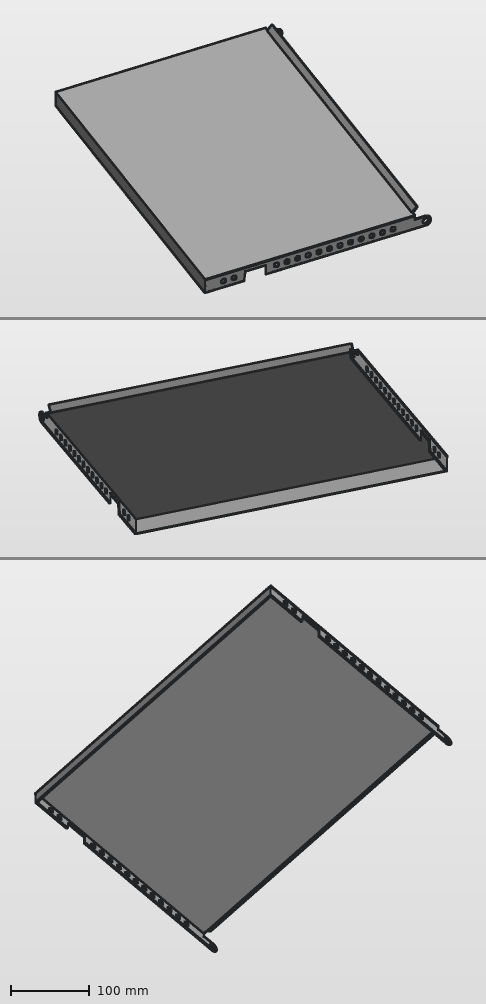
import cadquery as cq
import math

width = 430.0
length = 321.0
sheet = 1.7
plate_top = 22.5
plate_length = 298.5
wall_inset = 0.2

arm_height = 14.5
eye_radius = arm_height / 2
eye_diameter = 8.0
eye_y = length - eye_radius

hole_diameter = 7.0
hole_pitch = 15.0
hole_z = 10.0
first_hole_y = 26.5
front_hole_count = 2
rear_row_offset = 5 * hole_pitch
rear_hole_count = 12

notch_front = 56.0
notch_rear = 87.0
notch_height = arm_height
notch_lean = 1.7

lip_top = 30.0
lip_tip_y = 305.5
lip_inset = 6.5


def make_tray():
    """Plate with downturned front and side walls, open below and at the rear."""
    plate = cq.Workplane("XY").box(width, plate_length, plate_top, centered=(True, False, False))
    cavity = cq.Workplane("XY").box(
        width - 2 * (wall_inset + sheet), plate_length, plate_top - sheet, centered=(True, False, False)
    )
    tray = plate.cut(cavity.translate((0, sheet, 0)))
    for x in (-width / 2, width / 2 - wall_inset):
        reveal = cq.Workplane("XY").box(wall_inset, plate_length, plate_top - sheet, centered=False)
        tray = tray.cut(reveal.translate((x, 0, 0)))
    return tray


def make_arm(wall_x):
    """Rounded hinge arm continuing one side wall to the rear."""
    return (
        cq.Workplane("YZ", origin=(wall_x, 0, 0))
        .moveTo(plate_length - sheet, 0)
        .lineTo(eye_y, 0)
        .threePointArc((length, eye_radius), (eye_y, arm_height))
        .lineTo(plate_length - sheet, arm_height)
        .close()
        .extrude(sheet)
    )


def make_lip():
    """Strip of sheet sloping up and back from the rear edge of the plate."""
    rise = lip_top - plate_top
    run = lip_tip_y - plate_length
    slope_length = math.hypot(rise, run)
    step_y = sheet * rise / slope_length
    step_z = sheet * run / slope_length
    lip_width = width - 2 * lip_inset
    return (
        cq.Workplane("YZ", origin=(-lip_width / 2, 0, 0))
        .polyline([
            (plate_length - step_y, plate_top),
            (lip_tip_y - step_y, lip_top),
            (lip_tip_y, lip_top - step_z),
            (plate_length, plate_top - step_z),
            (plate_length - step_y, plate_top - sheet),
        ])
        .close()
        .extrude(lip_width)
    )


def side_cutter(y, z, diameter):
    """Round bar that pierces both side walls."""
    return (
        cq.Workplane("YZ", origin=(-width / 2, 0, 0))
        .center(y, z)
        .circle(diameter / 2)
        .extrude(width)
    )


def make_notch():
    """Notch through both side walls, its front edge leaning to the rear at the top."""
    return (
        cq.Workplane("YZ", origin=(-width / 2, 0, 0))
        .polyline([
            (notch_front, 0),
            (notch_rear, 0),
            (notch_rear, notch_height),
            (notch_front + notch_lean, notch_height),
        ])
        .close()
        .extrude(width)
    )


result = make_tray().union(make_lip())
for wall_x in (wall_inset - width / 2, width / 2 - wall_inset - sheet):
    result = result.union(make_arm(wall_x))

hole_places = [first_hole_y + i * hole_pitch for i in range(front_hole_count)]
hole_places += [first_hole_y + rear_row_offset + i * hole_pitch for i in range(rear_hole_count)]
for hole_y in hole_places:
    result = result.cut(side_cutter(hole_y, hole_z, hole_diameter))

result = result.cut(side_cutter(eye_y, eye_radius, eye_diameter))
result = result.cut(make_notch())